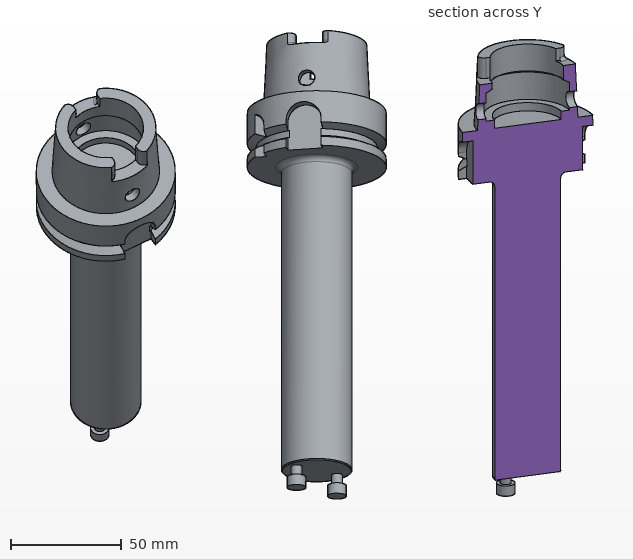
import cadquery as cq
import math

overall_length = 212.9

taper_length = 32.0
gauge_height = 6.3
gauge_radius = 48.01 / 2
taper_slope = 1 / 20
taper_base_radius = gauge_radius + gauge_height * taper_slope
taper_top_radius = taper_base_radius - taper_length * taper_slope

flange_radius = 62.94 / 2
flange_thickness = 26.0
groove_middle = -18.3
groove_mouth = 7.0
groove_floor_width = 3.2
groove_floor_radius = 27.5

shank_radius = 32.0 / 2
shank_fillet = 2.6
shank_chamfer = 0.5

screw_circle_radius = 11.0
screw_angles = (135, 315)
screw_head_diameter = 8.5
screw_head_height = 5.0
screw_neck_diameter = 5.0
screw_neck_length = 5.0
shank_end = taper_length - overall_length + screw_head_height + screw_neck_length

mouth_radius = 34.05 / 2
undercut_radius = 40.08 / 2
undercut_top = 19.0
undercut_angle = 30.0
undercut_floor = 4.0
seat_radius = 32.0 / 2
seat_floor = 0.0

cross_hole_diameter = 7.5
cross_hole_height = 8.9

drive_half_width = 12.54 / 2
drive_edge_radius = 3.0
drive_floor_fillet = 1.5
left_drive_depth = 6.0
right_drive_depth = 10.0

key_slot_width = 16.05
key_slot_arch_top = -5.0
key_slot_floor = 26.5
notch_centre_y = 27.5
notch_floor = 19.6


def make_body():
    """Taper, grooved flange and shank as one turned solid."""
    upper_mouth = groove_middle + groove_mouth / 2
    lower_mouth = groove_middle - groove_mouth / 2
    upper_floor = groove_middle + groove_floor_width / 2
    lower_floor = groove_middle - groove_floor_width / 2
    fillet_mid = shank_fillet * (1 - math.sqrt(0.5))
    profile = (
        cq.Workplane("XZ")
        .moveTo(0, taper_length)
        .lineTo(taper_top_radius, taper_length)
        .lineTo(taper_base_radius, 0)
        .lineTo(flange_radius, 0)
        .lineTo(flange_radius, upper_mouth)
        .lineTo(groove_floor_radius, upper_floor)
        .lineTo(groove_floor_radius, lower_floor)
        .lineTo(flange_radius, lower_mouth)
        .lineTo(flange_radius, -flange_thickness)
        .lineTo(shank_radius + shank_fillet, -flange_thickness)
        .threePointArc(
            (shank_radius + fillet_mid, -flange_thickness - fillet_mid),
            (shank_radius, -flange_thickness - shank_fillet),
        )
        .lineTo(shank_radius, shank_end + shank_chamfer)
        .lineTo(shank_radius - shank_chamfer, shank_end)
        .lineTo(0, shank_end)
        .close()
    )
    return profile.revolve(360, (0, 0, 0), (0, 1, 0))


def make_cavity():
    """Turned clamping cavity: straight mouth, conical shoulder, undercut and seat."""
    shoulder_drop = (undercut_radius - mouth_radius) * math.tan(math.radians(undercut_angle))
    profile = (
        cq.Workplane("XZ")
        .moveTo(0, taper_length)
        .lineTo(mouth_radius, taper_length)
        .lineTo(mouth_radius, undercut_top)
        .lineTo(undercut_radius, undercut_top - shoulder_drop)
        .lineTo(undercut_radius, undercut_floor)
        .lineTo(seat_radius, undercut_floor)
        .lineTo(seat_radius, seat_floor)
        .lineTo(0, seat_floor)
        .close()
    )
    return profile.revolve(360, (0, 0, 0), (0, 1, 0))


def make_drive_slot(side, depth, with_floor_fillet):
    """Rim slot on the +X (side=1) or -X (side=-1) side.

    The outer edges of its walls are rounded; a small fillet can run along the foot of each rounding.
    """
    floor_height = taper_length - depth
    flare_half_width = drive_half_width + drive_edge_radius
    flare_end_x = math.sqrt(taper_top_radius**2 - flare_half_width**2)
    flare_start_x = flare_end_x - drive_edge_radius
    mid_offset = drive_edge_radius * math.sqrt(0.5)
    mid_x = flare_start_x + mid_offset
    mid_y = flare_half_width - mid_offset
    slot = (
        cq.Workplane("XY", origin=(0, 0, floor_height))
        .moveTo(0, -drive_half_width)
        .lineTo(side * flare_start_x, -drive_half_width)
        .threePointArc((side * mid_x, -mid_y), (side * flare_end_x, -flare_half_width))
        .lineTo(side * flange_radius, -flare_half_width)
        .lineTo(side * flange_radius, flare_half_width)
        .lineTo(side * flare_end_x, flare_half_width)
        .threePointArc((side * mid_x, mid_y), (side * flare_start_x, drive_half_width))
        .lineTo(0, drive_half_width)
        .close()
        .extrude(depth)
    )
    if with_floor_fillet:
        for y_side in (-1, 1):
            centre = (side * flare_start_x, y_side * flare_half_width, floor_height)
            slot = slot.cut(make_floor_fillet(centre, side, y_side))
    return slot


def make_floor_fillet(centre, x_side, y_side):
    """Quarter ring with a concave section around a rounded slot edge, standing on the slot floor."""
    fillet = drive_floor_fillet
    inner = drive_edge_radius
    mid_offset = fillet * (1 - math.sqrt(0.5))
    ring = (
        cq.Workplane("XZ")
        .moveTo(inner, 0)
        .lineTo(inner + fillet, 0)
        .threePointArc((inner + mid_offset, mid_offset), (inner, fillet))
        .close()
        .revolve(360, (0, 0, 0), (0, 1, 0))
    )
    reach = inner + fillet
    quarter = (
        cq.Workplane("XY")
        .box(reach, reach, fillet, centered=(True, True, False))
        .translate((x_side * reach / 2, -y_side * reach / 2, 0))
    )
    return ring.intersect(quarter).translate(centre)


def make_arched_slot(side, centre_y, floor):
    """Slot open at the flange underside with a round top, outside the plane X = side * floor."""
    radius = key_slot_width / 2
    arch_centre = key_slot_arch_top - radius
    return (
        cq.Workplane("YZ", origin=(side * floor, 0, 0))
        .moveTo(centre_y - radius, -flange_thickness)
        .lineTo(centre_y - radius, arch_centre)
        .threePointArc((centre_y, key_slot_arch_top), (centre_y + radius, arch_centre))
        .lineTo(centre_y + radius, -flange_thickness)
        .close()
        .extrude(side * flange_radius)
    )


def make_screws():
    """Cap screws hanging from the end face of the shank."""
    places = []
    for screw_angle in screw_angles:
        angle = math.radians(screw_angle)
        places.append((screw_circle_radius * math.cos(angle), screw_circle_radius * math.sin(angle)))
    end_face = cq.Workplane("XY", origin=(0, 0, shank_end))
    necks = end_face.pushPoints(places).circle(screw_neck_diameter / 2).extrude(-screw_neck_length)
    head_plane = end_face.workplane(offset=-screw_neck_length)
    heads = head_plane.pushPoints(places).circle(screw_head_diameter / 2).extrude(-screw_head_height)
    return necks.union(heads)


cross_hole = (
    cq.Workplane("YZ")
    .center(0, cross_hole_height)
    .circle(cross_hole_diameter / 2)
    .extrude(flange_radius, both=True)
)

result = (
    make_body()
    .cut(make_cavity())
    .cut(make_drive_slot(-1, left_drive_depth, True))
    .cut(make_drive_slot(1, right_drive_depth, False))
    .cut(cross_hole)
    .cut(make_arched_slot(-1, 0, key_slot_floor))
    .cut(make_arched_slot(1, 0, key_slot_floor))
    .cut(make_arched_slot(-1, notch_centre_y, notch_floor))
    .union(make_screws())
)